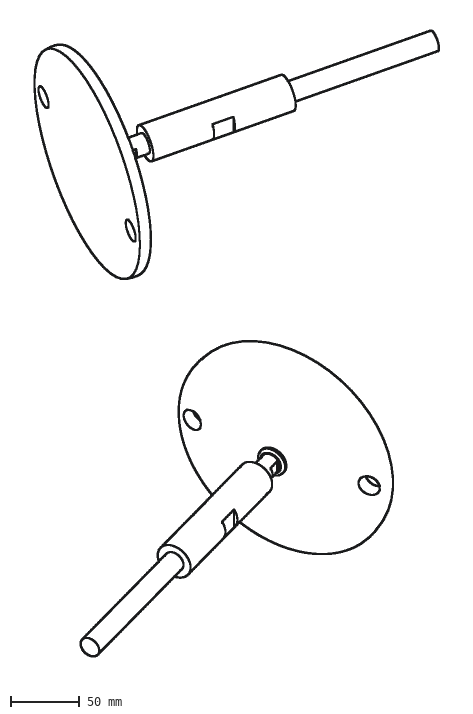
import cadquery as cq
import math

foot_diameter = 178.0
foot_radius = foot_diameter / 2
rim_height = 9.2
rim_round = 2.5
sole_taper_height = 4.2
sole_taper_inset = 0.5
cone_top = 22.7

collar_radius = 11.5
collar_edge = 24.5
collar_top = 25.8
collar_top_radius = 8.7

hole_diameter = 16.5
hole_offset = 73.0
hole_lean = math.atan2(cone_top - rim_height, foot_radius - collar_radius)
hole_reach = 2 * cone_top

spindle_end = 280.0
rod_diameter = 16.0
sleeve_diameter = 28.0
sleeve_start = 46.8
sleeve_end = 161.5
sleeve_flat_width = 22.5
sleeve_flat_length = 16.8
neck_flat_width = 12.5
neck_flat_start = 27.5
neck_flat_end = 36.5


def cylinder_along_y(diameter, start, end):
    """Cylinder on the Y axis between two Y positions."""
    circle = cq.Workplane("XZ", origin=(0, start, 0)).circle(diameter / 2)
    return circle.extrude(start - end)


def cut_flats(body, diameter, across_flats, start, end):
    """Cut a pair of wrench flats facing -X and +X."""
    depth = (diameter - across_flats) / 2
    for side in (-1, 1):
        center = (side * (across_flats + depth) / 2, (start + end) / 2, 0)
        body = body.cut(cq.Workplane("XY", origin=center).box(depth, end - start, diameter))
    return body


def make_foot_blank():
    """Turned foot with a tapered sole, a rounded rim and a collar."""
    foot = (
        cq.Workplane("XY")
        .lineTo(foot_radius - sole_taper_inset, 0)
        .lineTo(foot_radius, sole_taper_height)
        .lineTo(foot_radius, rim_height)
        .lineTo(collar_radius, cone_top)
        .lineTo(collar_radius, collar_edge)
        .lineTo(collar_top_radius, collar_top)
        .lineTo(0, collar_top)
        .close()
        .revolve(360, (0, 0, 0), (0, 1, 0))
    )
    rim_edge = cq.selectors.BoxSelector(
        (-foot_diameter, rim_height - rim_round, -foot_diameter),
        (foot_diameter, rim_height + rim_round, foot_diameter),
        boundingbox=True,
    )
    return foot.edges("%CIRCLE").edges(rim_edge).fillet(rim_round)


def make_foot():
    """Foot with its two outward-leaning mounting holes."""
    foot = make_foot_blank()
    for side in (-1, 1):
        axis = cq.Vector(side * math.sin(hole_lean), math.cos(hole_lean), 0)
        start = cq.Vector(side * hole_offset, 0, 0) - axis * hole_reach
        foot = foot.cut(cq.Solid.makeCylinder(hole_diameter / 2, 2 * hole_reach, start, axis))
    return foot


def make_spindle():
    """Rod with a thick sleeve and a neck that stands on the collar."""
    rod = cylinder_along_y(rod_diameter, collar_top, spindle_end)
    spindle = rod.union(cylinder_along_y(sleeve_diameter, sleeve_start, sleeve_end))
    spindle = cut_flats(spindle, rod_diameter, neck_flat_width, neck_flat_start, neck_flat_end)
    sleeve_middle = (sleeve_start + sleeve_end) / 2
    return cut_flats(
        spindle,
        sleeve_diameter,
        sleeve_flat_width,
        sleeve_middle - sleeve_flat_length / 2,
        sleeve_middle + sleeve_flat_length / 2,
    )


foot = make_foot()
spindle = make_spindle()
result = cq.Compound.makeCompound([foot.val(), spindle.val()])